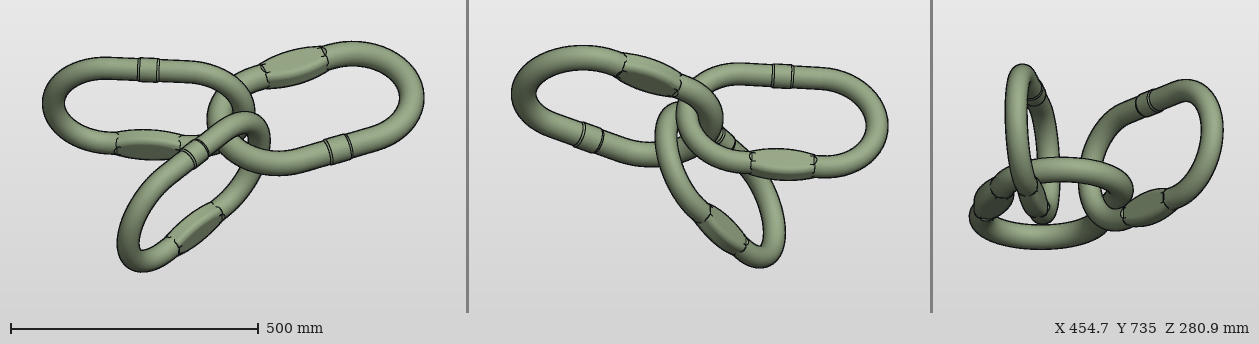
import cadquery as cq


STRAIGHT_LENGTH = 160.0
FLAT_END_MARGIN = 2.0
FLAT_RAMP_LENGTH = 6.0
COLLAR_HEIGHT = 1.85
COLLAR_TAPER_LENGTH = 4.5

MASTER_WIRE_DIAMETER = 50.0
MASTER_BEND_RADIUS = 120.0
MASTER_WELD_LENGTH = 132.0
MASTER_WELD_WIDTH = 69.0

HANGING_WIRE_DIAMETER = 45.0
HANGING_BEND_RADIUS = 112.5
HANGING_WELD_LENGTH = 129.5
HANGING_WELD_WIDTH = 63.0
HANGING_TILT = 25.0
HANGING_CENTER_X = 123.5
HANGING_CENTER_Y = -313.0
HANGING_CENTER_Z = 4.0

WELD_THICKNESS_RATIO = 0.88
WELD_EDGE_RADIUS_RATIO = 0.28
WELD_END_WIDTH_RATIO = 0.93
COLLAR_LENGTH_RATIO = 0.97


def make_wire_ring(wire_diameter, bend_radius):
    """Round wire swept along two straight legs and two half circles."""
    half_straight = STRAIGHT_LENGTH / 2
    path = (
        cq.Workplane("XY")
        .moveTo(bend_radius, -half_straight)
        .lineTo(bend_radius, half_straight)
        .threePointArc((0, half_straight + bend_radius), (-bend_radius, half_straight))
        .lineTo(-bend_radius, -half_straight)
        .threePointArc((0, -half_straight - bend_radius), (bend_radius, -half_straight))
        .close()
    )
    section = cq.Workplane("XZ", origin=(bend_radius, -half_straight, 0)).circle(wire_diameter / 2)
    return section.sweep(path)


def make_weld_body(wire_diameter, weld_length, weld_width):
    """Lens-shaped body with two flat faces and rounded long edges, centred on the origin."""
    thickness = WELD_THICKNESS_RATIO * wire_diameter
    half_length = weld_length / 2
    half_width = weld_width / 2
    half_end_width = WELD_END_WIDTH_RATIO * wire_diameter / 2
    return (
        cq.Workplane("XY")
        .moveTo(-half_end_width, -half_length)
        .lineTo(half_end_width, -half_length)
        .threePointArc((half_width, 0), (half_end_width, half_length))
        .lineTo(-half_end_width, half_length)
        .threePointArc((-half_width, 0), (-half_end_width, -half_length))
        .close()
        .extrude(thickness / 2, both=True)
        .edges("(not |X) and (not |Z)")
        .fillet(WELD_EDGE_RADIUS_RATIO * wire_diameter)
    )


def make_flat_cutter(wire_diameter, weld_length, weld_width):
    """Prism above the weld body that takes the wire down to its flat, with sloped ends."""
    flat_height = WELD_THICKNESS_RATIO * wire_diameter / 2
    wire_radius = wire_diameter / 2
    half_length = weld_length / 2 - FLAT_END_MARGIN
    half_top_length = half_length + FLAT_RAMP_LENGTH
    return (
        cq.Workplane("YZ")
        .polyline(
            [
                (-half_length, flat_height),
                (half_length, flat_height),
                (half_top_length, wire_radius),
                (-half_top_length, wire_radius),
            ]
        )
        .close()
        .extrude(weld_width / 2, both=True)
    )


def make_collar(wire_diameter):
    """Raised ring around a leg with a short cone at each end, centred on the origin."""
    wire_radius = wire_diameter / 2
    collar_radius = wire_radius + COLLAR_HEIGHT
    half_length = COLLAR_LENGTH_RATIO * wire_diameter / 2
    half_land = half_length - COLLAR_TAPER_LENGTH
    return (
        cq.Workplane("XY")
        .moveTo(0, -half_length)
        .lineTo(wire_radius, -half_length)
        .lineTo(collar_radius, -half_land)
        .lineTo(collar_radius, half_land)
        .lineTo(wire_radius, half_length)
        .lineTo(0, half_length)
        .close()
        .revolve(360, (0, 0, 0), (0, 1, 0))
    )


def make_link(wire_diameter, bend_radius, weld_length, weld_width):
    """One link: wire ring with a weld body on one leg and a collar on the other."""
    weld_center = (-bend_radius, 0, 0)
    weld_body = make_weld_body(wire_diameter, weld_length, weld_width).translate(weld_center)
    upper_cutter = make_flat_cutter(wire_diameter, weld_length, weld_width).translate(weld_center)
    lower_cutter = upper_cutter.mirror("XY")
    collar = make_collar(wire_diameter).translate((bend_radius, 0, 0))
    ring = make_wire_ring(wire_diameter, bend_radius).cut(upper_cutter).cut(lower_cutter)
    return ring.union(weld_body).union(collar).solids().val()


def make_hanging_link(side):
    """Smaller link stood on edge, weld body down, its lower end leaning towards +X or -X."""
    return (
        make_link(HANGING_WIRE_DIAMETER, HANGING_BEND_RADIUS, HANGING_WELD_LENGTH, HANGING_WELD_WIDTH)
        .rotate((0, 0, 0), (0, 1, 0), -90)
        .rotate((0, 0, 0), (0, 0, 1), side * HANGING_TILT)
        .translate((side * HANGING_CENTER_X, HANGING_CENTER_Y, HANGING_CENTER_Z))
    )


master_link = make_link(MASTER_WIRE_DIAMETER, MASTER_BEND_RADIUS, MASTER_WELD_LENGTH, MASTER_WELD_WIDTH)
hanging_links = [make_hanging_link(side) for side in (-1, 1)]

result = cq.Compound.makeCompound([master_link, *hanging_links])